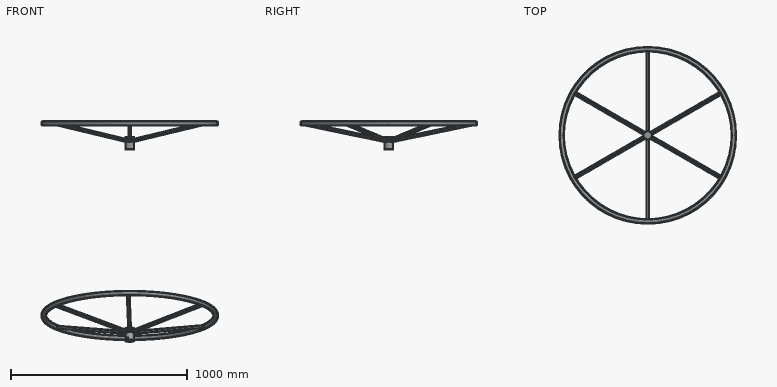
import cadquery as cq

wheel_diameter = 1000.0
rim_tube_diameter = 25.0
wheel_height = 160.0
rim_radius = (wheel_diameter - rim_tube_diameter) / 2
rim_height = wheel_height - rim_tube_diameter / 2
half_turn = 180.0

hub_diameter = 50.0
hub_height = 70.0

spoke_count = 6
spoke_diameter = 16.0
spoke_axis_height = 46.0
first_spoke_angle = 90.0
spoke_hub_gap = 18.0
spoke_rim_gap = 4.0

screw_hole_diameter = 6.0
screw_hole_height = 10.0


def make_half_rim(start_angle):
    tube_section = cq.Workplane("XZ").center(rim_radius, rim_height).circle(rim_tube_diameter / 2)
    half_rim = tube_section.revolve(half_turn, (-rim_radius, 0), (-rim_radius, 1))
    return half_rim.rotate((0, 0, 0), (0, 0, 1), start_angle)


def make_hub():
    return cq.Workplane("XY").circle(hub_diameter / 2).extrude(hub_height)


def make_spoke(angle):
    line_start = cq.Vector(0, 0, spoke_axis_height)
    line = cq.Vector(rim_radius, 0, rim_height) - line_start
    direction = line.normalized()
    bar_start = line_start + direction * spoke_hub_gap
    bar_length = line.Length - spoke_hub_gap - spoke_rim_gap
    bar = cq.Solid.makeCylinder(spoke_diameter / 2, bar_length, bar_start, direction)
    return cq.Workplane(bar).rotate((0, 0, 0), (0, 0, 1), angle)


def make_screw_hole():
    start = cq.Vector(-hub_diameter / 2, 0, screw_hole_height)
    direction = cq.Vector(1, 0, 0)
    return cq.Workplane(cq.Solid.makeCylinder(screw_hole_diameter / 2, hub_diameter / 2, start, direction))


result = make_hub().cut(make_screw_hole())
for spoke_index in range(spoke_count):
    spoke_angle = first_spoke_angle + spoke_index * 360 / spoke_count
    result = result.union(make_spoke(spoke_angle))
for half_start_angle in (0, half_turn):
    result = result.union(make_half_rim(half_start_angle), clean=False)